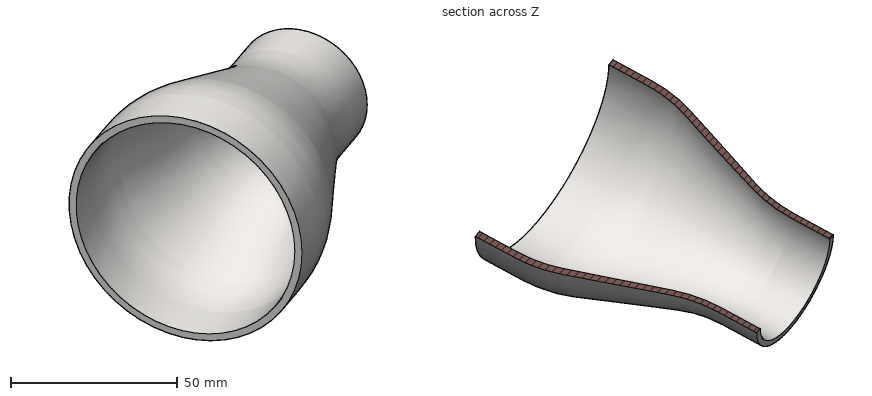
import cadquery as cq
import math

length = 90.0
wide_outer_diameter = 76.1
wide_inner_diameter = 71.5
narrow_outer_diameter = 42.4
narrow_inner_diameter = 38.4
collar_length = 14.0
outer_bend_radius = 45.0

wide_wall = (wide_outer_diameter - wide_inner_diameter) / 2
narrow_wall = (narrow_outer_diameter - narrow_inner_diameter) / 2
wide_inner_bend_radius = outer_bend_radius - wide_wall
narrow_inner_bend_radius = outer_bend_radius + narrow_wall


def bend_travel(bend_radius, angle):
    """Axial run and radial drop along an arc that leaves a collar and turns through the angle."""
    return bend_radius * math.sin(angle), bend_radius * (1 - math.cos(angle))


def reducer_solid(wide_radius, narrow_radius, wide_bend_radius, narrow_bend_radius):
    """Solid of revolution: wide collar, arc, tangent cone, arc, narrow collar."""
    wide_end = -length / 2
    narrow_end = length / 2
    wide_bend_start = wide_end + collar_length
    narrow_bend_end = narrow_end - collar_length

    span = narrow_bend_end - wide_bend_start
    bend_radius_sum = wide_bend_radius + narrow_bend_radius
    center_offset = bend_radius_sum - (wide_radius - narrow_radius)
    center_distance = math.hypot(span, center_offset)
    cone_angle = math.asin(bend_radius_sum / center_distance) - math.atan2(center_offset, span)

    wide_mid_run, wide_mid_drop = bend_travel(wide_bend_radius, cone_angle / 2)
    wide_run, wide_drop = bend_travel(wide_bend_radius, cone_angle)
    narrow_mid_run, narrow_mid_drop = bend_travel(narrow_bend_radius, cone_angle / 2)
    narrow_run, narrow_drop = bend_travel(narrow_bend_radius, cone_angle)

    profile = (
        cq.Workplane("XY")
        .moveTo(0, wide_end)
        .lineTo(wide_radius, wide_end)
        .lineTo(wide_radius, wide_bend_start)
        .threePointArc(
            (wide_radius - wide_mid_drop, wide_bend_start + wide_mid_run),
            (wide_radius - wide_drop, wide_bend_start + wide_run),
        )
        .lineTo(narrow_radius + narrow_drop, narrow_bend_end - narrow_run)
        .threePointArc(
            (narrow_radius + narrow_mid_drop, narrow_bend_end - narrow_mid_run),
            (narrow_radius, narrow_bend_end),
        )
        .lineTo(narrow_radius, narrow_end)
        .lineTo(0, narrow_end)
        .close()
    )
    return profile.revolve(360, (0, 0, 0), (0, 1, 0))


outer_body = reducer_solid(
    wide_outer_diameter / 2,
    narrow_outer_diameter / 2,
    outer_bend_radius,
    outer_bend_radius,
)
inner_passage = reducer_solid(
    wide_inner_diameter / 2,
    narrow_inner_diameter / 2,
    wide_inner_bend_radius,
    narrow_inner_bend_radius,
)

result = outer_body.cut(inner_passage)